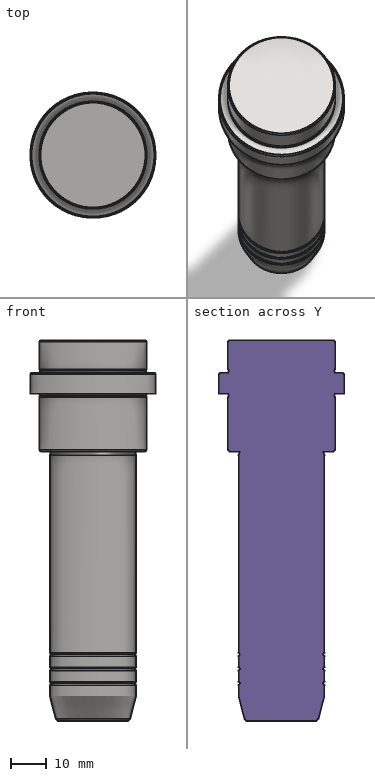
import cadquery as cq

total_length = 106.0
flange_radius = 35.0 / 2
collar_radius = 30.0 / 2
shaft_radius = 24.1 / 2

head_length = 9.0
flange_thickness = 5.9
collar_length = 16.1
taper_length = 7.0

edge_chamfer = 0.4
collar_chamfer = 0.5
tip_radius = 10.4
tip_chamfer = 0.6

relief_depth = 0.3
flange_relief_width = 1.0
neck_length = 1.0

groove_count = 3
groove_pitch = 4.0
groove_width = 1.0
groove_depth = 0.4
lowest_groove_height = 10.5

flange_top = total_length - head_length
flange_bottom = flange_top - flange_thickness
collar_bottom = flange_bottom - collar_length


def add_groove(profile, radius, bottom, width, depth):
    """Continue the profile upward at the given radius through one V-shaped groove."""
    return (
        profile.lineTo(radius, bottom)
        .lineTo(radius - depth, bottom + width / 2)
        .lineTo(radius, bottom + width)
    )


profile = (
    cq.Workplane("XZ")
    .lineTo(tip_radius - tip_chamfer, 0)
    .lineTo(tip_radius, tip_chamfer)
    .lineTo(shaft_radius, taper_length)
)

for index in range(groove_count):
    groove_bottom = lowest_groove_height + index * groove_pitch - groove_width / 2
    profile = add_groove(profile, shaft_radius, groove_bottom, groove_width, groove_depth)

profile = (
    profile.lineTo(shaft_radius, collar_bottom - neck_length)
    .lineTo(shaft_radius - relief_depth, collar_bottom)
)

profile = (
    profile.lineTo(collar_radius - collar_chamfer, collar_bottom)
    .lineTo(collar_radius, collar_bottom + collar_chamfer)
)
profile = add_groove(
    profile, collar_radius, flange_bottom - flange_relief_width, flange_relief_width, relief_depth
)

profile = (
    profile.lineTo(flange_radius, flange_bottom)
    .lineTo(flange_radius, flange_top - edge_chamfer)
    .lineTo(flange_radius - edge_chamfer, flange_top)
)

profile = add_groove(profile, collar_radius, flange_top, flange_relief_width, relief_depth)
profile = (
    profile.lineTo(collar_radius, total_length - edge_chamfer)
    .lineTo(collar_radius - edge_chamfer, total_length)
    .lineTo(0, total_length)
    .close()
)

result = profile.revolve(360, (0, 0, 0), (0, 1, 0))